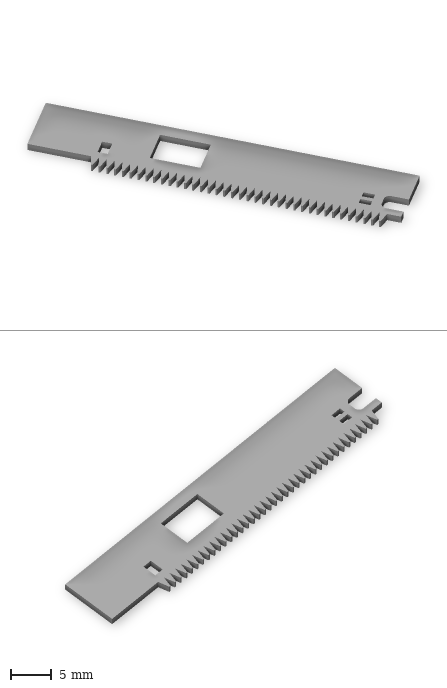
import cadquery as cq
import math

body_length = 48.0
body_width = 8.0
thickness = 1.0

tooth_count = 38
tooth_pitch = 1.0
tooth_depth = 1.51
flank_angle = 14.5
comb_start = 8.2
tip_inset = tooth_depth * math.tan(math.radians(flank_angle))

opening_base = 1.0

small_window_left = 8.72
small_window_length = 1.3
small_window_width = 2.0

large_window_left = 15.2
large_window_base = 1.75
large_window_length = 6.5
large_window_width = 4.5

slit_count = 2
slit_left = 42.25
slit_length = 1.5
slit_width = 0.75
slit_spacing = 1.3

notch_depth = 3.0
notch_width = 2.35
notch_corner_radius = 0.75


def box_from_corner(left, base, length, width):
    """Full-thickness block placed by its lower left corner."""
    return cq.Workplane("XY").box(length, width, thickness, centered=False).translate((left, base, 0))


def toothed_strip():
    """Body with the row of teeth along its lower edge, extruded as one outline."""
    points = [(0, body_width), (0, 0), (comb_start, 0)]
    for index in range(tooth_count):
        left = comb_start + index * tooth_pitch
        right = left + tooth_pitch
        points.append((left + tip_inset, -tooth_depth))
        points.append((right - tip_inset, -tooth_depth))
        points.append((right, 0))
    points.append((body_length, 0))
    points.append((body_length, body_width))
    return cq.Workplane("XY").polyline(points).close().extrude(thickness)


def end_notch():
    """Notch cutter with its two inner corners rounded."""
    cutter = box_from_corner(body_length - notch_depth, opening_base, notch_depth, notch_width)
    return cutter.edges("|Z and <X").fillet(notch_corner_radius)


def windows():
    """Cutters for the small window, the large window and the pair of slits."""
    cutters = [
        box_from_corner(small_window_left, opening_base, small_window_length, small_window_width),
        box_from_corner(large_window_left, large_window_base, large_window_length, large_window_width),
    ]
    for index in range(slit_count):
        slit_base = opening_base + index * slit_spacing
        cutters.append(box_from_corner(slit_left, slit_base, slit_length, slit_width))
    return cutters


result = toothed_strip().cut(end_notch())
for window in windows():
    result = result.cut(window)